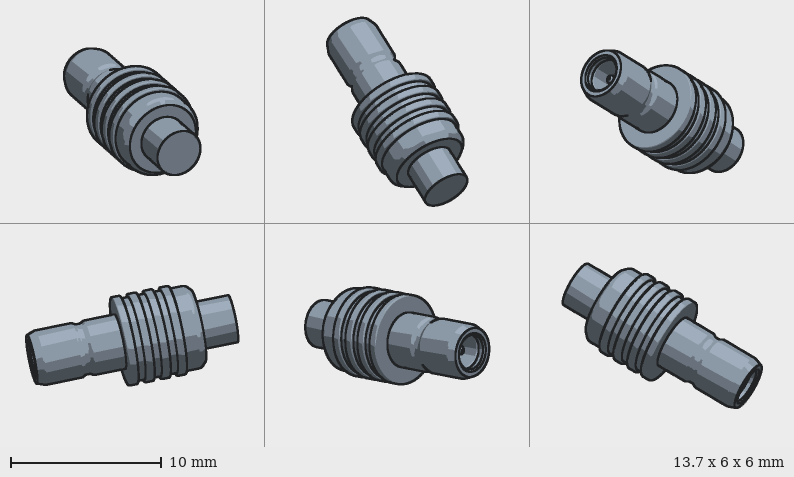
import cadquery as cq
import math


total_length = 13.7
sleeve_start = 6.0
sleeve_end = 11.32

barrel_radius = 1.85
nose_length = 0.56
nose_angle = math.radians(20)
nose_blend = 0.25

groove_center = 3.48
groove_floor_width = 0.34
groove_depth = 0.14
groove_wall_angle = math.radians(30)
groove_blend = 0.16

sleeve_radius = 2.8
sleeve_chamfer = 0.35
sleeve_blend = 0.35
rib_radius = 3.0
rib_width = 0.6
rib_pitch = 1.1
rib_count = 4
rib_edge_round = 0.09

ferrule_radius = 1.6

mouth_chamfer = 0.13
counterbore_radius = 1.17
counterbore_depth = 0.52
bore_radius = 1.03
bore_depth = 3.5
bore_lip_round = 0.1

pin_radius = 0.28
pin_tip_radius = 0.11
pin_tip_x = 0.85
pin_taper_length = 0.2


def revolve_outline(points):
    """Solid from (x, radius) points turned about the X axis."""
    return cq.Workplane("XY").polyline(points).close().revolve(360, (0, 0, 0), (1, 0, 0))


def cylinder(start, end, radius):
    """Cylinder on the X axis between two stations."""
    return cq.Workplane("YZ", origin=(start, 0, 0)).circle(radius).extrude(end - start)


def fillet_rings(body, stations, radius):
    """Round the circular edges centered on the axis at the given stations."""
    slack = 0.01
    for x in stations:
        ring = cq.selectors.BoxSelector((x - slack, -slack, -slack), (x + slack, slack, slack))
        body = body.edges(ring).fillet(radius)
    return body


def make_barrel():
    nose_radius = barrel_radius - nose_length * math.tan(nose_angle)
    floor_radius = barrel_radius - groove_depth
    floor_half = groove_floor_width / 2
    mouth_half = floor_half + groove_depth / math.tan(groove_wall_angle)
    groove_stations = [
        groove_center - mouth_half,
        groove_center - floor_half,
        groove_center + floor_half,
        groove_center + mouth_half,
    ]
    barrel = revolve_outline([
        (0, 0),
        (0, nose_radius),
        (nose_length, barrel_radius),
        (groove_stations[0], barrel_radius),
        (groove_stations[1], floor_radius),
        (groove_stations[2], floor_radius),
        (groove_stations[3], barrel_radius),
        (sleeve_start, barrel_radius),
        (sleeve_start, 0),
    ])
    barrel = fillet_rings(barrel, [nose_length], nose_blend)
    return fillet_rings(barrel, groove_stations, groove_blend)


def make_sleeve():
    chamfer_start = sleeve_end - sleeve_chamfer
    sleeve = cylinder(sleeve_start, sleeve_end, sleeve_radius)
    sleeve = sleeve.faces(">X").chamfer(sleeve_chamfer)
    sleeve = fillet_rings(sleeve, [chamfer_start], sleeve_blend)
    for i in range(rib_count):
        rib_start = sleeve_start + i * rib_pitch
        rib = cylinder(rib_start, rib_start + rib_width, rib_radius)
        sleeve = sleeve.union(rib.edges("%CIRCLE").fillet(rib_edge_round))
    return sleeve


def make_bore():
    """Bore volume: chamfered mouth, counterbore and rounded lip into the main bore."""
    lip_radius = bore_radius + bore_lip_round
    lip_end = counterbore_depth + bore_lip_round
    arc_offset = bore_lip_round * (1 - math.sqrt(0.5))
    profile = (
        cq.Workplane("XY")
        .moveTo(0, 0)
        .lineTo(0, counterbore_radius + mouth_chamfer)
        .lineTo(mouth_chamfer, counterbore_radius)
        .lineTo(counterbore_depth, counterbore_radius)
        .lineTo(counterbore_depth, lip_radius)
        .threePointArc((counterbore_depth + arc_offset, bore_radius + arc_offset), (lip_end, bore_radius))
        .lineTo(bore_depth, bore_radius)
        .lineTo(bore_depth, 0)
        .close()
    )
    return profile.revolve(360, (0, 0, 0), (1, 0, 0))


def make_pin():
    """Tapered contact pin, rooted a little below the bore floor."""
    root = bore_depth + pin_radius
    return revolve_outline([
        (pin_tip_x, 0),
        (pin_tip_x, pin_tip_radius),
        (pin_tip_x + pin_taper_length, pin_radius),
        (root, pin_radius),
        (root, 0),
    ])


ferrule = cylinder(sleeve_end, total_length, ferrule_radius)
body = make_barrel().union(make_sleeve()).union(ferrule)
result = body.cut(make_bore()).union(make_pin())